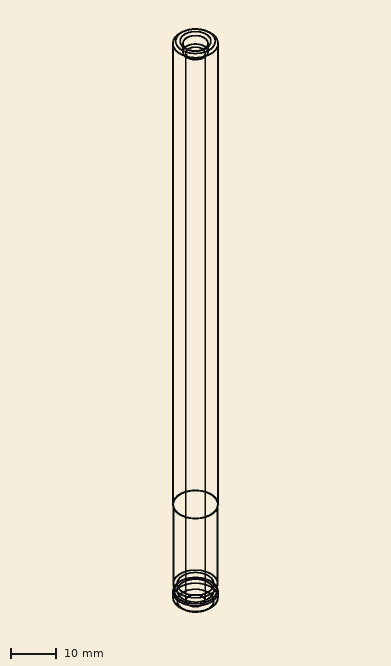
import cadquery as cq
import math

length = 157.5
tube_diameter = 10.0

sleeve_diameter = 9.8
sleeve_top = 27.1

groove_top = 4.7
groove_diameter = 8.0
collar_top = 2.8
collar_chamfer = 0.3
foot_chamfer = 1.0

top_chamfer = 0.6

bore_diameter = 4.3
socket_diameter = 5.5
socket_depth = 3.0
socket_floor_angle = 120
mouth_diameter = 6.8


def make_body():
    """Revolve the outer half profile about the Z axis."""
    tube_radius = tube_diameter / 2
    sleeve_radius = sleeve_diameter / 2
    groove_radius = groove_diameter / 2
    foot_radius = tube_radius - foot_chamfer
    collar_shoulder = tube_radius - collar_chamfer
    return (
        cq.Workplane("XZ")
        .lineTo(foot_radius, 0)
        .lineTo(tube_radius, foot_chamfer)
        .lineTo(tube_radius, collar_top - collar_chamfer)
        .lineTo(collar_shoulder, collar_top)
        .lineTo(groove_radius, collar_top)
        .lineTo(groove_radius, groove_top)
        .lineTo(sleeve_radius, groove_top)
        .lineTo(sleeve_radius, sleeve_top)
        .lineTo(tube_radius, sleeve_top)
        .lineTo(tube_radius, length - top_chamfer)
        .lineTo(tube_radius - top_chamfer, length)
        .lineTo(0, length)
        .close()
        .revolve(360, (0, 0), (0, 1))
    )


def make_bore():
    """Through bore widening over a conical floor into a socket with a chamfered mouth."""
    bore_radius = bore_diameter / 2
    socket_radius = socket_diameter / 2
    mouth_radius = mouth_diameter / 2
    mouth_depth = mouth_radius - socket_radius
    socket_floor = length - socket_depth
    cone_height = (socket_radius - bore_radius) / math.tan(math.radians(socket_floor_angle / 2))
    return (
        cq.Workplane("XZ")
        .lineTo(bore_radius, 0)
        .lineTo(bore_radius, socket_floor - cone_height)
        .lineTo(socket_radius, socket_floor)
        .lineTo(socket_radius, length - mouth_depth)
        .lineTo(mouth_radius, length)
        .lineTo(0, length)
        .close()
        .revolve(360, (0, 0), (0, 1))
    )


result = make_body().cut(make_bore())